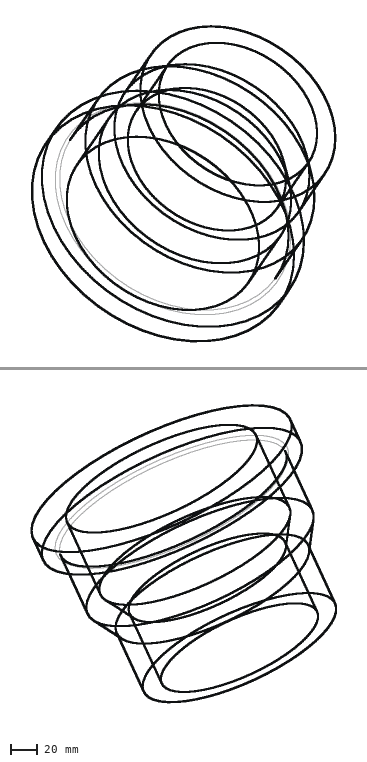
import cadquery as cq

flange_diameter = 215.0
flange_thickness = 20.0
body_diameter = 188.0
spigot_diameter = 160.0
total_length = 150.0
body_end = 74.0
spigot_start = 97.9
large_bore_diameter = 157.9
small_bore_diameter = 130.0
fillet_radius = 2.5

bore_taper_start = 64.0
bore_taper_end = bore_taper_start + spigot_start - body_end

flange_radius = flange_diameter / 2
body_radius = body_diameter / 2
spigot_radius = spigot_diameter / 2
large_bore_radius = large_bore_diameter / 2
small_bore_radius = small_bore_diameter / 2

half_section = (
    cq.Workplane("XY")
    .moveTo(large_bore_radius, 0)
    .lineTo(flange_radius, 0)
    .lineTo(flange_radius, flange_thickness)
    .lineTo(body_radius + fillet_radius, flange_thickness)
    .radiusArc((body_radius, flange_thickness + fillet_radius), fillet_radius)
    .lineTo(body_radius, body_end)
    .lineTo(spigot_radius, spigot_start)
    .lineTo(spigot_radius, total_length)
    .lineTo(small_bore_radius, total_length)
    .lineTo(small_bore_radius, bore_taper_end)
    .lineTo(large_bore_radius, bore_taper_start)
    .close()
)

result = half_section.revolve(360, (0, 0, 0), (0, 1, 0))